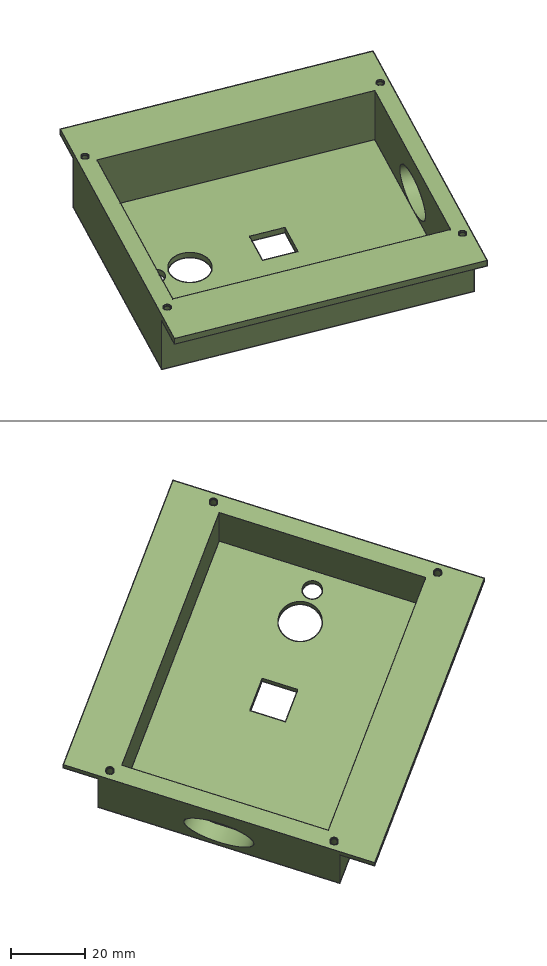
import cadquery as cq
import math

flange_width = 89.0
flange_thickness = 2.1

length = 90.0
total_height = 20.0
box_width = 69.1

pocket_width = 59.0
end_wall = 5.0
floor_thickness = 2.0
pocket_length = length - 2 * end_wall

square_side = 10.2
floor_hole_x = 1.0
large_hole_diameter = 12.0
large_hole_y = -24.5
small_hole_diameter = 5.5
small_hole_y = -34.5

wall_opening_width = 20.0
wall_opening_height = 12.0
wall_opening_z = floor_thickness + wall_opening_height / 2

screw_spacing_x = 64.1
screw_spacing_y = 85.0
screw_diameter = 1.8
screw_step_diameter = 2.25
screw_step_depth = 0.5
screw_depth = 4.05
drill_tip_angle = 118


def block(width, depth, bottom, top):
    """Block centred on the Z axis between two heights."""
    return (
        cq.Workplane("XY", origin=(0, 0, bottom))
        .rect(width, depth)
        .extrude(top - bottom)
    )


def floor_hole(diameter, y):
    """Cylinder that cuts a round hole through the floor."""
    return (
        cq.Workplane("XY", origin=(floor_hole_x, y, 0))
        .circle(diameter / 2)
        .extrude(floor_thickness)
    )


def wall_opening():
    """Elliptical cutter through the back wall only."""
    return (
        cq.Workplane("XZ", origin=(0, length / 2, wall_opening_z))
        .ellipse(wall_opening_width / 2, wall_opening_height / 2)
        .extrude(end_wall)
    )


def screw_hole(x, y):
    """Stepped blind hole with a conical drill tip, cut down from the rim."""
    radius = screw_diameter / 2
    step_radius = screw_step_diameter / 2
    tip_height = radius / math.tan(math.radians(drill_tip_angle / 2))
    half_section = [
        (0, 0),
        (step_radius, 0),
        (step_radius, -screw_step_depth),
        (radius, -screw_step_depth),
        (radius, -screw_depth),
        (0, -screw_depth - tip_height),
    ]
    return (
        cq.Workplane("XZ", origin=(x, y, total_height))
        .polyline(half_section)
        .close()
        .revolve(360, (0, 0, 0), (0, 1, 0))
    )


box = block(box_width, length, 0, total_height)
flange = block(flange_width, length, total_height - flange_thickness, total_height)
pocket = block(pocket_width, pocket_length, floor_thickness, total_height)
result = box.union(flange).cut(pocket)

result = result.cut(block(square_side, square_side, 0, floor_thickness))
result = result.cut(floor_hole(large_hole_diameter, large_hole_y))
result = result.cut(floor_hole(small_hole_diameter, small_hole_y))
result = result.cut(wall_opening())

for x_side in (-1, 1):
    for y_side in (-1, 1):
        result = result.cut(screw_hole(x_side * screw_spacing_x / 2, y_side * screw_spacing_y / 2))